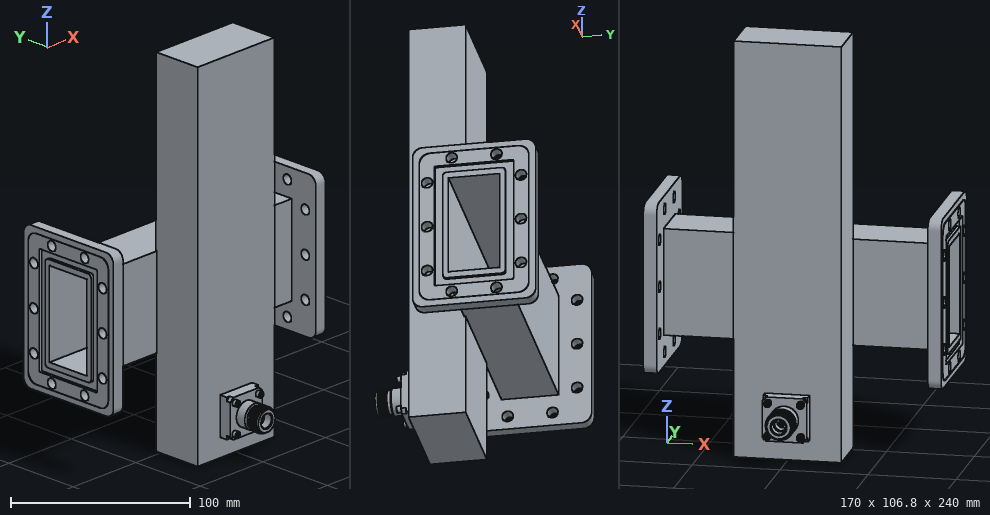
import cadquery as cq

total_length = 170.0
guide_width = 61.5
guide_height = 32.5
wall = 1.7
bore_width = guide_width - 2 * wall
bore_height = guide_height - 2 * wall

flange_thickness = 8.0
flange_y = 69.8
flange_z = 98.5
flange_corner = 5.8
relief_border = 3.8
relief_depth = 0.2
relief_corner = 6.2
groove_outer_y = 45.0
groove_outer_z = 74.0
groove_outer_corner = 1.0
groove_inner_y = 35.5
groove_inner_z = 65.3
groove_inner_corner = 2.2
groove_depth = 2.0
bolt_diameter = 6.2
side_bolt_y = 26.6
side_bolt_pitch = 27.0
end_bolt_z = 41.3
end_bolt_y = 12.7

upright_length = 240.0
upright_below = 90.0
shared_wall = 0.85
upright_back = -guide_height / 2 + shared_wall
upright_front = upright_back - guide_height

connector_above_base = 25.2
connector_z = connector_above_base - upright_below
pad_side = 25.5
pad_thickness = 5.0
plate_thickness = 3.0
plate_corner = 2.5
screw_spacing = 18.7
screw_diameter = 3.8
screw_height = 3.0
screw_edge = 0.35
screw_socket_diameter = 1.54
screw_socket_depth = 1.5
barrel_diameter = 15.8
root_diameter = 13.7
barrel_length = 6.5
barrel_bevel = 0.7
neck_length = 2.0
thread_ridges = 6
thread_length = 5.3
thread_pitch = thread_length / thread_ridges
thread_depth = 0.5
nose_length = 1.55
mouth_diameter = 8.5
mouth_bevel = 0.5
mouth_depth = 6.0
socket_diameter = 7.0
socket_depth = 12.0
pin_diameter = 3.0
pin_hole_diameter = 1.54
pin_length = 4.8
pin_hole_depth = 2.5


def block_along_x(x_start, x_end, size_y, size_z, corner=0):
    """Block between two X positions, centred on the guide axis, with rounded X edges."""
    block = cq.Workplane("XY").box(x_end - x_start, size_y, size_z)
    if corner:
        block = block.edges("|X").fillet(corner)
    return block.translate(((x_start + x_end) / 2, 0, 0))


def bolt_positions():
    """Y, Z places of the ten flange bolts."""
    places = []
    for side in (-1, 1):
        for row in (-1, 0, 1):
            places.append((side * side_bolt_y, row * side_bolt_pitch))
        for end in (-1, 1):
            places.append((side * end_bolt_y, end * end_bolt_z))
    return places


def left_flange():
    """Flange at the -X end, with a gasket groove and a slightly set-back border."""
    face = -total_length / 2
    back = face + flange_thickness
    relief = face + relief_depth
    land_y = flange_y - 2 * relief_border
    land_z = flange_z - 2 * relief_border
    flange = block_along_x(relief, back, flange_y, flange_z, flange_corner)
    flange = flange.union(block_along_x(face, back, land_y, land_z, relief_corner))
    bottom = face + groove_depth
    groove = block_along_x(face, bottom, groove_outer_y, groove_outer_z, groove_outer_corner)
    island = block_along_x(face, bottom, groove_inner_y, groove_inner_z, groove_inner_corner)
    flange = flange.cut(groove.cut(island))
    bolts = (
        cq.Workplane("YZ", origin=(face, 0, 0))
        .pushPoints(bolt_positions())
        .circle(bolt_diameter / 2)
        .extrude(flange_thickness)
    )
    return flange.cut(bolts)


def through_guide():
    """Rectangular tube with a flange at each end, open right through."""
    half = total_length / 2
    flange = left_flange()
    guide = block_along_x(
        flange_thickness - half, half - flange_thickness, guide_height, guide_width
    )
    guide = guide.union(flange).union(flange.mirror("YZ"))
    return guide.cut(block_along_x(-half, half, bore_height, bore_width))


def upright():
    """Upright, a solid bar let slightly into the wall of the through guide."""
    return cq.Workplane("XY").box(guide_width, guide_height, upright_length).translate(
        (0, (upright_back + upright_front) / 2, upright_length / 2 - upright_below)
    )


def connector_plane(out):
    """Plane facing -Y at a distance out from the front of the upright."""
    return cq.Workplane("XZ", origin=(0, upright_front - out, connector_z))


def connector_body():
    """Turned body: barrel, neck, thread and nose, with the stepped socket and the pin."""
    barrel_r = barrel_diameter / 2
    root_r = root_diameter / 2
    start = pad_thickness + plate_thickness
    barrel_end = start + barrel_length
    neck_start = barrel_end + barrel_bevel
    thread_start = neck_start + neck_length
    thread_end = thread_start + thread_length
    tip = thread_end + nose_length

    outline = [(0, start), (barrel_r, start), (barrel_r, barrel_end), (root_r, neck_start)]
    outline.append((root_r, thread_start))
    for ridge in range(thread_ridges):
        groove = thread_start + ridge * thread_pitch
        outline.append((barrel_r - thread_depth, groove))
        outline.append((barrel_r, groove + thread_pitch / 2))
    outline.append((barrel_r - thread_depth, thread_end))
    outline.append((root_r, thread_end))
    outline.append((root_r, tip))
    outline.append((0, tip))
    profile = [(radius, upright_front - out) for radius, out in outline]
    body = (
        cq.Workplane("XY", origin=(0, 0, connector_z))
        .polyline(profile)
        .close()
        .revolve(360, (0, 0, 0), (0, 1, 0))
    )

    floor = tip - socket_depth
    pin_tip = floor + pin_length
    mouth = connector_plane(tip - mouth_depth).circle(mouth_diameter / 2).extrude(mouth_depth)
    bevel = (
        connector_plane(tip)
        .circle(mouth_diameter / 2 + mouth_bevel)
        .extrude(-mouth_bevel, taper=45)
    )
    body = body.cut(mouth).cut(bevel)
    body = body.cut(connector_plane(floor).circle(socket_diameter / 2).extrude(socket_depth))
    pin = connector_plane(floor).circle(pin_diameter / 2).extrude(pin_length)
    pin_hole = connector_plane(pin_tip).circle(pin_hole_diameter / 2).extrude(-pin_hole_depth)
    return body.union(pin.cut(pin_hole))


def screw_places(out):
    """Four screw centres on a plane at a distance out from the upright."""
    corners = connector_plane(out).rect(screw_spacing, screw_spacing, forConstruction=True)
    return corners.vertices()


def connector():
    """Square pad, corner-cut mounting plate, four socket screws and the turned body."""
    pad = connector_plane(0).rect(pad_side, pad_side).extrude(pad_thickness)
    plate = (
        connector_plane(pad_thickness)
        .rect(pad_side, pad_side)
        .extrude(plate_thickness)
        .edges("|Y")
        .chamfer(plate_corner)
    )
    plate_face = pad_thickness + plate_thickness
    screws = screw_places(plate_face).circle(screw_diameter / 2).extrude(screw_height)
    screws = screws.faces("<Y").edges().chamfer(screw_edge)
    sockets = (
        screw_places(plate_face + screw_height)
        .circle(screw_socket_diameter / 2)
        .extrude(-screw_socket_depth)
    )
    return pad.union(plate).union(screws.cut(sockets)).union(connector_body())


result = through_guide().union(upright()).union(connector())